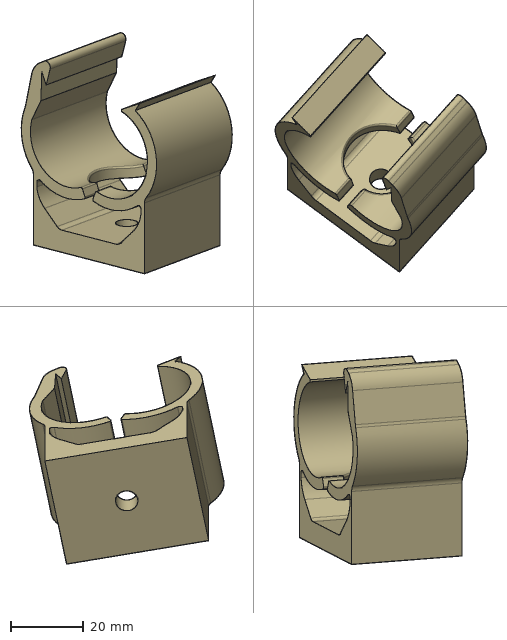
import math
import cadquery as cq

length = 32.65
base_half_width = 19.95
jaw_root_fillet = 2.5

axis_x = 7.65
axis_z = 32.7
outer_radius = 16.65
wall = 3.3
inner_radius = outer_radius - wall
tip_angle = -112.7
edge_fillet = 0.5

hook_outer_angle = 24.0
hook_inner_angle = 15.5
hook_root_fillet = 4.9
catch_root_angle = 57.3
catch_lip_angle = 72.4
catch_lip_height = 0.6
catch_barb_tip = (18.2, 49.1)

height = 54.35
cap_radius = 1.6
cap_x = -15.45
cap_start_angle = 116
cap_end_angle = -15
shoulder_start = (-20.65, 49.15)
shoulder_middle = (-19.8, 51.35)
shoulder_end = (-17.5, 53.5)
tooth_tip = (-15.3, 47.45)
notch_apex = (-16.9, 50.9)
stem_foot = (-17.25, 42.45)

floor_z = 6.45
floor_corner_x = 10.65
floor_fillet = 2.45
cavity_half_width = 18.7
cavity_bend_start_z = 17.1
cavity_bend_middle = (17.55, 13.7)
cavity_bend_end = (15.85, 11.5)
cavity_roof_fillet = 0.85

screw_diameter = 6.15
access_diameter = 20.65


def jaw_point(side, radius, angle):
    """XZ point on a jaw; side is -1 or 1, angle rises from the outward direction."""
    turn = math.radians(angle)
    return (side * (axis_x + radius * math.cos(turn)), axis_z + radius * math.sin(turn))


def outer_wall_bottom(x):
    """Height of the underside of a jaw at distance x from the middle plane."""
    return axis_z - math.sqrt(outer_radius**2 - (x - axis_x) ** 2)


def extrude_outline(outline):
    """Close an XZ outline and extrude it over the length, centred on Y = 0."""
    return outline.close().extrude(length / 2, both=True)


def jaw_wall(side, outer_angle, inner_angle):
    """Curved wall from the rounded lower tip to the upper free end."""
    outline = (
        cq.Workplane("XZ")
        .moveTo(*jaw_point(side, outer_radius, tip_angle))
        .threePointArc(jaw_point(side, outer_radius, 0), jaw_point(side, outer_radius, outer_angle))
        .lineTo(*jaw_point(side, inner_radius, inner_angle))
        .threePointArc(jaw_point(side, inner_radius, 0), jaw_point(side, inner_radius, tip_angle))
    )
    return round_jaw(side, extrude_outline(outline).cut(access_opening()))


def access_opening():
    """Round opening through both jaws, above the screw hole."""
    return cq.Workplane("XY").circle(access_diameter / 2).extrude(axis_z)


def round_jaw(side, jaw):
    """Round the bore-side lip of the access opening and the corners of the tip."""
    inner_tip_x, inner_tip_z = jaw_point(side, inner_radius, tip_angle)
    outer_tip_x, outer_tip_z = jaw_point(side, outer_radius, tip_angle)
    access_radius = access_diameter / 2
    lip_z = axis_z - math.sqrt(inner_radius**2 - (access_radius - axis_x) ** 2)
    nearest = cq.selectors.NearestToPointSelector
    bore_edges = jaw.edges(nearest((side * access_radius, 0, lip_z)))
    for y in (-length / 2, length / 2):
        bore_edges = bore_edges.add(jaw.edges("|Y").edges(nearest((inner_tip_x, y, inner_tip_z))))
    jaw = bore_edges.fillet(edge_fillet)
    for y in (-length / 2, length / 2):
        outer_edge = nearest((outer_tip_x, y, outer_tip_z))
        jaw = jaw.edges("|Y").edges(outer_edge).fillet(edge_fillet)
    return jaw


def jaw_disc(side, radius):
    """Full-length cylinder on one jaw axis."""
    return cq.Workplane("XZ").center(side * axis_x, axis_z).circle(radius).extrude(length / 2, both=True)


def cavity():
    """Space under the jaws, with sloping lower corners and rounded roof corners."""
    bend_x, bend_z = cavity_bend_end
    middle_x, middle_z = cavity_bend_middle
    space = extrude_outline(
        cq.Workplane("XZ")
        .moveTo(-floor_corner_x, floor_z)
        .lineTo(floor_corner_x, floor_z)
        .lineTo(bend_x, bend_z)
        .threePointArc((middle_x, middle_z), (cavity_half_width, cavity_bend_start_z))
        .lineTo(cavity_half_width, axis_z)
        .lineTo(-cavity_half_width, axis_z)
        .lineTo(-cavity_half_width, cavity_bend_start_z)
        .threePointArc((-middle_x, middle_z), (-bend_x, bend_z))
    )
    space = space.edges("|Y and <Z").fillet(floor_fillet)
    for side in (-1, 1):
        space = space.cut(jaw_disc(side, outer_radius))
    roof_z = outer_wall_bottom(cavity_half_width)
    for side in (-1, 1):
        corner = cq.selectors.NearestToPointSelector((side * cavity_half_width, 0, roof_z))
        space = space.edges("|Y").edges(corner).fillet(cavity_roof_fillet)
    return space


def base_block():
    """Block that reaches up to where its sides meet the jaws, hollowed by the cavity."""
    top_z = outer_wall_bottom(base_half_width)
    block = cq.Workplane("XY").box(2 * base_half_width, length, top_z, centered=(True, True, False))
    for side in (-1, 1):
        block = block.cut(jaw_disc(side, outer_radius))
    screw_hole = cq.Workplane("XY").circle(screw_diameter / 2).extrude(floor_z)
    return block.cut(cavity()).cut(screw_hole)


def hook():
    """Upper end of the left jaw: a thick stem with a rounded cap and a downward tooth."""

    def cap_point(angle):
        turn = math.radians(angle)
        return (cap_x + cap_radius * math.cos(turn), height - cap_radius + cap_radius * math.sin(turn))

    cap_middle_angle = (cap_start_angle + cap_end_angle) / 2
    return extrude_outline(
        cq.Workplane("XZ")
        .moveTo(*jaw_point(-1, outer_radius, hook_outer_angle))
        .lineTo(*shoulder_start)
        .threePointArc(shoulder_middle, shoulder_end)
        .lineTo(*cap_point(cap_start_angle))
        .threePointArc(cap_point(cap_middle_angle), cap_point(cap_end_angle))
        .lineTo(*tooth_tip)
        .lineTo(*notch_apex)
        .lineTo(*stem_foot)
        .lineTo(*jaw_point(-1, inner_radius, hook_inner_angle))
    )


def catch():
    """Upper end of the right jaw: a barb with a sloping lead-in face."""
    lip_x, lip_z = jaw_point(1, inner_radius, catch_lip_angle)
    middle_angle = (catch_root_angle + catch_lip_angle) / 2
    return extrude_outline(
        cq.Workplane("XZ")
        .moveTo(*jaw_point(1, outer_radius, catch_root_angle))
        .lineTo(*catch_barb_tip)
        .lineTo(lip_x, lip_z + catch_lip_height)
        .lineTo(lip_x, lip_z)
        .threePointArc(
            jaw_point(1, inner_radius, middle_angle),
            jaw_point(1, inner_radius, catch_root_angle),
        )
    )


left_jaw = jaw_wall(-1, hook_outer_angle, hook_inner_angle)
right_jaw = jaw_wall(1, catch_root_angle, catch_root_angle)
result = base_block().union(left_jaw).union(right_jaw).union(hook()).union(catch())

for side in (-1, 1):
    root = (side * base_half_width, 0, outer_wall_bottom(base_half_width))
    result = result.edges("|Y").edges(cq.selectors.NearestToPointSelector(root)).fillet(jaw_root_fillet)
hook_x, hook_z = jaw_point(-1, outer_radius, hook_outer_angle)
hook_root = cq.selectors.NearestToPointSelector((hook_x, 0, hook_z))
result = result.edges("|Y").edges(hook_root).fillet(hook_root_fillet)